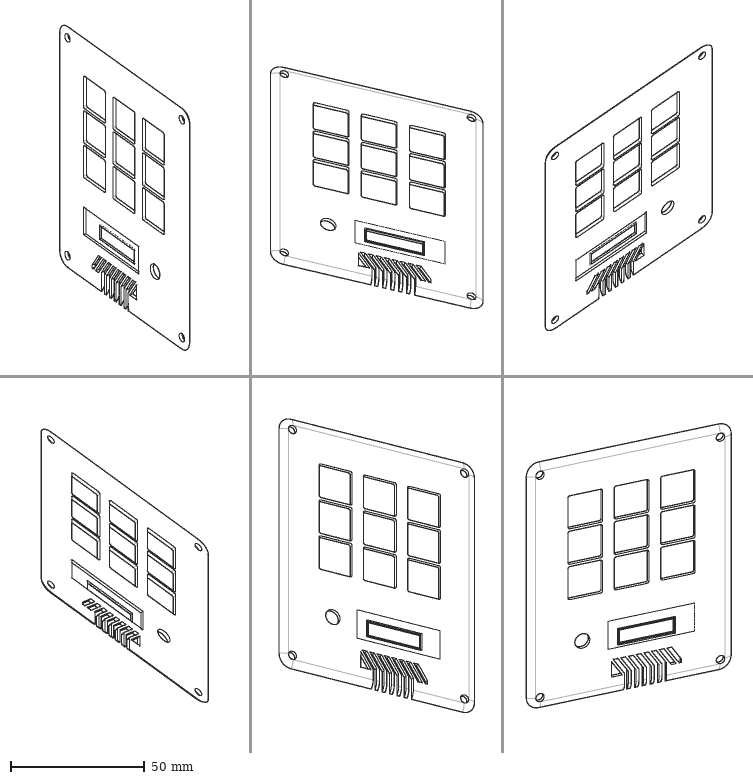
import cadquery as cq

plate_width = 84.1
plate_height = 105.2
plate_thickness = 1.5
corner_radius = 5.3

rim_width = 3.3
rim_radius = (rim_width**2 + plate_thickness**2) / (2 * plate_thickness)
rim_overhang = rim_radius - rim_width

screw_hole_diameter = 3.4
screw_hole_inset = 5.0

key_size = 14.1
key_corner_radius = 0.7
key_pitch_x = 19.0
key_pitch_z = 15.1
key_columns = 3
key_rows = 3
key_grid_x = -0.5
key_grid_z = 13.9

recess_left = key_grid_x - key_pitch_x - key_size / 2
recess_width = 35.7
recess_height = 12.0
recess_top = -21.2
recess_depth = 1.0
window_width = 22.5
window_height = 5.8
window_x = -6.5
window_z = -28.4
pad_margin = 0.5
pad_height = 0.5

button_diameter = 6.1
button_x = 19.7
button_z = -27.1

vent_left = -21.0
vent_right = 7.7
vent_top = -37.9
vent_bottom = -45.2
vent_bend_z = -44.2
slot_width = 1.9
slot_pitch = 3.2
slot_run_per_rise = 2 / 3
channel_left = -14.9
channel_right = 2.3
long_slots = 6
short_slots = 2

total_depth = plate_thickness + pad_height
bottom_edge = -plate_height / 2


def xz():
    """Workplane of the front face: local x is X, local y is Z."""
    return cq.Workplane("XZ")


def prism(outlines, start_y, end_y):
    """Extrude closed XZ outlines from start_y to end_y."""
    return outlines.extrude(start_y - end_y).translate((0, start_y, 0))


def block(left, right, bottom, top, start_y, end_y):
    outline = xz().center((left + right) / 2, (bottom + top) / 2).rect(right - left, top - bottom)
    return prism(outline, start_y, end_y)


def rounded_plate():
    """Fillet a thicker, slightly larger slab and keep only its back part."""
    slab_width = plate_width + 2 * rim_overhang
    slab_height = plate_height + 2 * rim_overhang
    slab_front = plate_thickness - 2 * rim_radius
    slab = prism(xz().rect(slab_width, slab_height), slab_front, plate_thickness)
    slab = slab.edges("|Y").fillet(corner_radius + rim_overhang)
    slab = slab.faces(">Y").edges().fillet(rim_radius)
    kept = prism(xz().rect(plate_width, plate_height), 0, plate_thickness)
    return slab.intersect(kept)


def screw_holes():
    spacing_x = plate_width - 2 * screw_hole_inset
    spacing_z = plate_height - 2 * screw_hole_inset
    centers = xz().rect(spacing_x, spacing_z, forConstruction=True).vertices()
    return prism(centers.circle(screw_hole_diameter / 2), 0, total_depth)


def key_openings():
    centers = xz().center(key_grid_x, key_grid_z).rarray(key_pitch_x, key_pitch_z, key_columns, key_rows)
    openings = prism(centers.rect(key_size, key_size), 0, total_depth)
    return openings.edges("|Y").fillet(key_corner_radius)


def display_pad():
    pad = xz().center(window_x, window_z).rect(window_width + 2 * pad_margin, window_height + 2 * pad_margin)
    return prism(pad, recess_depth, total_depth)


def display_opening():
    recess = block(
        recess_left, recess_left + recess_width, recess_top - recess_height, recess_top, 0, recess_depth
    )
    window = prism(xz().center(window_x, window_z).rect(window_width, window_height), 0, total_depth)
    return recess.union(window)


def button_opening():
    return prism(xz().center(button_x, button_z).circle(button_diameter / 2), 0, total_depth)


def slanted_x(bend_x, z):
    """X at height z on the slanted line that passes bend_x at the bend height."""
    return bend_x + (z - vent_bend_z) * slot_run_per_rise


def short_slot(left, right):
    """Slanted slot that ends at the vent's lower side."""
    points = [
        (slanted_x(left, vent_bottom), vent_bottom),
        (slanted_x(left, vent_top), vent_top),
        (slanted_x(right, vent_top), vent_top),
        (slanted_x(right, vent_bottom), vent_bottom),
    ]
    return prism(xz().polyline(points).close(), 0, total_depth)


def long_slot(left):
    """Slot whose lower part is vertical; the last one is narrowed by the channel's right side."""
    right = left + slot_width
    lower_right = min(right, channel_right)
    right_bend_z = vent_bend_z - (right - lower_right) / slot_run_per_rise
    points = [
        (left, bottom_edge),
        (left, vent_bend_z),
        (slanted_x(left, vent_top), vent_top),
        (slanted_x(right, vent_top), vent_top),
        (lower_right, right_bend_z),
        (lower_right, bottom_edge),
    ]
    return prism(xz().polyline(points).close(), 0, total_depth)


def vent_slots():
    slots = cq.Workplane()
    for index in range(long_slots):
        slots = slots.add(long_slot(channel_left + index * slot_pitch))
    for index in range(1, short_slots + 1):
        left = channel_left - index * slot_pitch
        slots = slots.add(short_slot(left, left + slot_width))
    corner_left = channel_left + long_slots * slot_pitch
    vent_width = vent_right - vent_left
    slots = slots.add(short_slot(corner_left, corner_left + vent_width))
    limits = block(vent_left, vent_right, bottom_edge, vent_top, 0, total_depth)
    return slots.combine().intersect(limits)


result = (
    rounded_plate()
    .union(display_pad())
    .cut(display_opening())
    .cut(screw_holes())
    .cut(key_openings())
    .cut(button_opening())
    .cut(vent_slots())
)